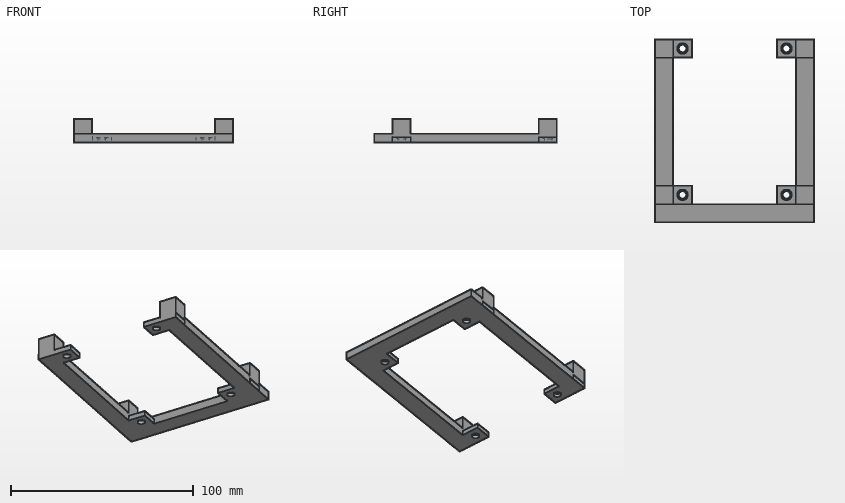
import cadquery as cq

width = 87.0
tab_overhang = 0.05
length = 100.0
height = 13.0

rail_width = 10.0
rail_height = 5.0
post_size = 10.0
tab_reach = 10.3
tab_thickness = 3.0

hole_diameter = 4.1
sink_diameter = 5.8
sink_angle = 90.0
hole_inset = 15.1

tab_length = tab_overhang + post_size + tab_reach
post_rows = (rail_width, length - post_size)


def block(x, y, size_x, size_y, size_z):
    """Box standing on the base plane with its lower corner at (x, y)."""
    return cq.Workplane("XY").box(size_x, size_y, size_z, centered=False).translate((x, y, 0))


frame = block(0, 0, width, rail_width, rail_height)
for rail_x in (0, width - rail_width):
    frame = frame.union(block(rail_x, 0, rail_width, length, rail_height))

for row_y in post_rows:
    for post_x in (0, width - post_size):
        frame = frame.union(block(post_x, row_y, post_size, post_size, height))
    for tab_x in (-tab_overhang, width + tab_overhang - tab_length):
        frame = frame.union(block(tab_x, row_y, tab_length, post_size, tab_thickness))

hole_centers = [
    (hole_x, row_y + post_size / 2)
    for row_y in post_rows
    for hole_x in (hole_inset, width - hole_inset)
]
result = (
    frame.copyWorkplane(cq.Workplane("XY", origin=(0, 0, tab_thickness)))
    .pushPoints(hole_centers)
    .cskHole(hole_diameter, sink_diameter, sink_angle, depth=tab_thickness)
)